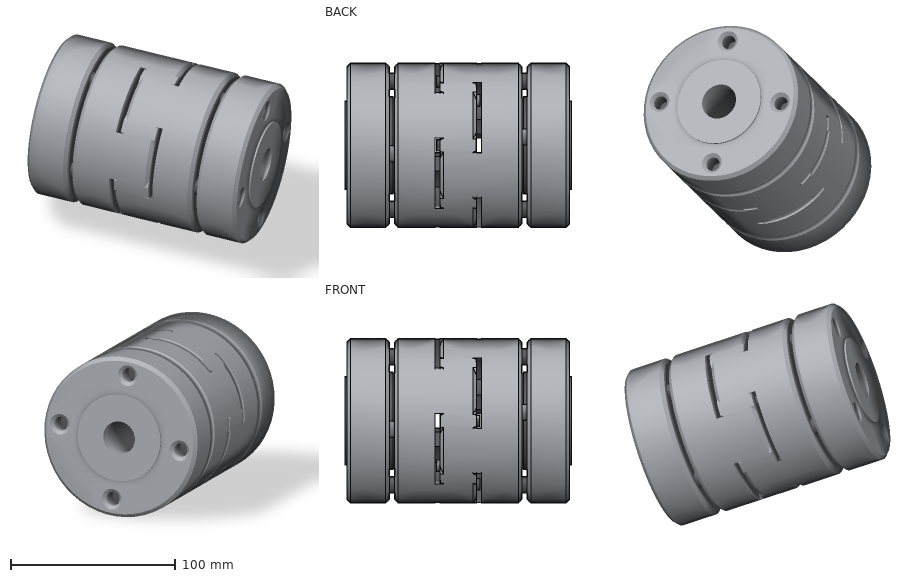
import cadquery as cq
import math


length = 138.0
outer_dia = 100.0
edge_chamfer = 2.2

hub_face_dia = 54.0
hub_face_height = 1.1
flange_width = 26.0
gap_width = 3.2
hub_neck_dia = 59.3
hub_step_dia = 58.0
hub_step_width = 0.8
body_length = length - 2 * (hub_face_height + flange_width + gap_width)

left_bore_dia = 22.0
right_bore_dia = 20.5

screw_count = 4
screw_circle_radius = 39.3
screw_turn = 7.5
screw_dia = 10.0
screw_hole_dia = 8.5
screw_mouth_dia = 12.8
screw_hole_depth = flange_width / 2

slot_count = 4
slot_turn = 22.5
slot_width = 3.0
slot_inner_x = 11.0
slot_outer_x = slot_inner_x + slot_width
slot_dia = 47.0
slot_center_radius = 40.0
cavity_dia = 59.3

relief_size = 2.2
relief_span = 36.0
relief_ramp_length = 4.4
flare_width = 1.0
flare_depth = 3.5

pin_dia = 7.0
pin_height = 2.1
pin_circle_radius = 38.6
left_pin_turn = 45.0
right_pin_turn = 0.0

outer_radius = outer_dia / 2
half_length = length / 2
half_body = body_length / 2
cut_margin = 1.4


def cylinder_x(dia, x_start, x_end, radius=0.0, angle=0.0):
    """Cylinder along X whose axis sits at the given radius and angle."""
    y = -radius * math.cos(math.radians(angle))
    z = radius * math.sin(math.radians(angle))
    start = cq.Vector(x_start, y, z)
    return cq.Workplane(cq.Solid.makeCylinder(dia / 2, x_end - x_start, start, cq.Vector(1, 0, 0)))


def cone_x(start_dia, end_dia, x_start, depth, radius=0.0, angle=0.0):
    """Cone along +X whose axis sits at the given radius and angle."""
    y = -radius * math.cos(math.radians(angle))
    z = radius * math.sin(math.radians(angle))
    start = cq.Vector(x_start, y, z)
    return cq.Workplane(cq.Solid.makeCone(start_dia / 2, end_dia / 2, depth, start, cq.Vector(1, 0, 0)))


def turn(shape, angle):
    """Turn a shape about X, from -Y toward +Z for a positive angle."""
    return shape.rotate((0, 0, 0), (1, 0, 0), -angle)


def around(count, first_angle):
    return [first_angle + i * 360.0 / count for i in range(count)]


def slot_edge_cutters():
    """Relief and end flares of a slot centred on -Y, on the -X side of the body."""
    relief = (
        cq.Workplane("XY")
        .moveTo(-slot_inner_x, -(outer_radius - relief_size))
        .lineTo(-slot_inner_x + relief_size, -outer_radius)
        .lineTo(-slot_inner_x + relief_size, -outer_radius - cut_margin)
        .lineTo(-slot_inner_x, -outer_radius - cut_margin)
        .close()
        .revolve(relief_span, (0, 0, 0), (1, 0, 0))
    )
    relief = relief.rotate((0, 0, 0), (1, 0, 0), -relief_span / 2)

    end_across = outer_radius * math.sin(math.radians(relief_span / 2))
    end_along = outer_radius * math.cos(math.radians(relief_span / 2))
    floor_across = end_across - relief_ramp_length
    floor_along = math.sqrt((outer_radius - relief_size) ** 2 - floor_across**2)
    top_along = outer_radius + cut_margin
    ramp_points = [(-end_along, end_across), (-floor_along, floor_across)]
    ramp_points += [(along, -across) for along, across in reversed(ramp_points)]
    window_points = [(-top_along, end_across)] + ramp_points + [(-top_along, -end_across)]
    window = cq.Workplane("YZ", origin=(-slot_inner_x, 0, 0)).polyline(window_points).close()
    relief = relief.intersect(window.extrude(relief_size))

    along = (outer_radius**2 + slot_center_radius**2 - (slot_dia / 2) ** 2) / (2 * slot_center_radius)
    across = math.sqrt(outer_radius**2 - along**2)
    cutters = [relief]
    for side in (-1, 1):
        flare = (
            cq.Workplane("XZ", origin=(0, -along + flare_depth, 0))
            .moveTo(-slot_inner_x, side * across)
            .lineTo(-slot_inner_x + relief_size, side * across)
            .lineTo(-slot_inner_x, side * (across - flare_width))
            .close()
            .extrude(outer_radius - along + flare_depth)
        )
        cutters.append(flare)
    return cutters


def half_coupling(bore_dia, pin_turn):
    """The half on the -X side, from the end face to the middle of the body."""
    flange_start = -half_length + hub_face_height
    flange_end = flange_start + flange_width

    flange = cylinder_x(outer_dia, flange_start, flange_end).faces("<X or >X").chamfer(edge_chamfer)
    body = cylinder_x(outer_dia, -half_body, 0).faces("<X").chamfer(edge_chamfer)
    half = flange.union(body)
    half = half.union(cylinder_x(hub_face_dia, -half_length, flange_start))
    half = half.union(cylinder_x(hub_neck_dia, flange_end, -half_body - hub_step_width))
    half = half.union(cylinder_x(hub_step_dia, flange_end, -half_body))

    sink_depth = (screw_mouth_dia - screw_hole_dia) / 2
    for angle in around(screw_count, -screw_turn):
        place = (screw_circle_radius, angle)
        half = half.union(cylinder_x(screw_dia, flange_end, -half_body, *place))
        half = half.cut(cylinder_x(screw_hole_dia, flange_start, flange_start + screw_hole_depth, *place))
        half = half.cut(cone_x(screw_mouth_dia, screw_hole_dia, flange_start, sink_depth, *place))

    half = half.cut(cylinder_x(bore_dia, -half_length, 0))
    half = half.cut(cylinder_x(cavity_dia, -slot_outer_x, 0))

    edge_cutters = slot_edge_cutters()
    for angle in around(slot_count, -slot_turn):
        half = half.cut(cylinder_x(slot_dia, -slot_outer_x, -slot_inner_x, slot_center_radius, angle))
        for cutter in edge_cutters:
            half = half.cut(turn(cutter, angle))

    for angle in around(slot_count, -pin_turn):
        half = half.union(
            cylinder_x(pin_dia, -slot_inner_x - pin_height, -slot_inner_x, pin_circle_radius, angle)
        )
    return half


left_half = half_coupling(left_bore_dia, left_pin_turn)
right_half = half_coupling(right_bore_dia, right_pin_turn).rotate((0, 0, 0), (0, 0, 1), 180)

result = left_half.union(right_half)